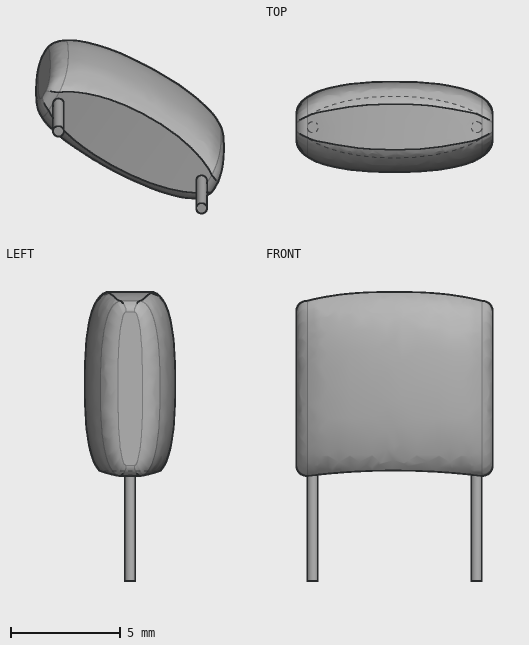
import cadquery as cq
import math

half_width = 4.5
body_height = 8.43
corner_radius = 0.5
shoulder_x = half_width - corner_radius
crown_rise = 0.41
crown_exponent = 2.5
crown_fractions = (0.6, 0, -0.6, -1)
arch_rise = 0.25

half_depth = 2.075
side_half_depth = 0.51
width_roundness = 2.35
height_roundness = 2.6
center_end_half_depth = 0.78
shoulder_end_half_depth = 0.26
side_end_half_depth = 0.08
rim_overlap = 0.02
end_extension = 0.5
section_steps = 12
main_fractions = (-1, -0.75, -0.5, -0.25, 0, 0.25, 0.5, 0.75, 1)
edge_fractions = (0, 0.4, 0.7, 0.9, 1)

lead_diameter = 0.5
lead_pitch = 7.5
lead_length = 4.8
lead_overlap = 0.5


def waist_half_depth(x):
    """Half thickness at mid height, a superellipse across the width."""
    bulge = (1 - abs(x / half_width) ** width_roundness) ** (1 / width_roundness)
    return side_half_depth + (half_depth - side_half_depth) * bulge


def end_half_depth(x):
    """Half thickness of the body at its top and bottom rims."""
    if abs(x) <= shoulder_x:
        drop = center_end_half_depth - shoulder_end_half_depth
        return center_end_half_depth - drop * (x / shoulder_x) ** 2
    fraction = (abs(x) - shoulder_x) / corner_radius
    return shoulder_end_half_depth + (side_end_half_depth - shoulder_end_half_depth) * fraction


def crown_height(x):
    """Top of the body, up to the shoulders."""
    return body_height - crown_rise * abs(x / shoulder_x) ** crown_exponent


def rim_heights(x):
    """Bottom and top of the bulged part of the section at x."""
    crown_z = crown_height(min(abs(x), shoulder_x))
    beyond_shoulder = max(abs(x) - shoulder_x, 0)
    corner_drop = corner_radius - math.sqrt(corner_radius**2 - beyond_shoulder**2)
    return corner_drop - rim_overlap, crown_z - corner_drop + rim_overlap


def section_wire(x):
    """Closed YZ section at x: a bulged curve front and back, with straight ends above and below."""
    bottom, top = rim_heights(x)
    middle = (bottom + top) / 2
    half_height = (top - bottom) / 2
    waist = waist_half_depth(x)
    rim = end_half_depth(x)
    curve = []
    for step in range(section_steps + 1):
        angle = math.pi * (step / section_steps - 0.5)
        height = math.copysign(abs(math.sin(angle)) ** (2 / height_roundness), math.sin(angle))
        depth = abs(math.cos(angle)) ** (2 / height_roundness)
        curve.append((rim + (waist - rim) * depth, middle + half_height * height))
    mirrored = [(-y, z) for y, z in reversed(curve)]
    low = -end_extension
    high = body_height + end_extension
    outline = (
        cq.Workplane("YZ", origin=(x, 0, 0))
        .moveTo(rim, low)
        .lineTo(rim, bottom)
        .spline(curve[1:], includeCurrent=True)
        .lineTo(rim, high)
        .lineTo(-rim, high)
        .lineTo(-rim, top)
        .spline(mirrored[1:], includeCurrent=True)
        .lineTo(-rim, low)
        .close()
    )
    return outline.val()


def pillow_part(stations):
    """Smooth loft through the sections at the given X stations."""
    return cq.Workplane(cq.Solid.makeLoft([section_wire(x) for x in stations]))


def outline_block():
    """Front outline with a crowned top, an arched underside and rounded corners."""
    block_half_depth = 2 * half_depth
    corner_mid_x = shoulder_x + corner_radius * math.sqrt(0.5)
    corner_mid_rise = corner_radius * (1 - math.sqrt(0.5))
    shoulder_z = crown_height(shoulder_x)
    side_top = shoulder_z - corner_radius
    crown_points = []
    for fraction in crown_fractions:
        x = fraction * shoulder_x
        crown_points.append((x, crown_height(x)))
    return (
        cq.Workplane("XZ", origin=(0, block_half_depth, 0))
        .moveTo(-shoulder_x, 0)
        .threePointArc((0, arch_rise), (shoulder_x, 0))
        .threePointArc((corner_mid_x, corner_mid_rise), (half_width, corner_radius))
        .lineTo(half_width, side_top)
        .threePointArc((corner_mid_x, shoulder_z - corner_mid_rise), (shoulder_x, shoulder_z))
        .spline(crown_points, includeCurrent=True)
        .threePointArc((-corner_mid_x, shoulder_z - corner_mid_rise), (-half_width, side_top))
        .lineTo(-half_width, corner_radius)
        .threePointArc((-corner_mid_x, corner_mid_rise), (-shoulder_x, 0))
        .close()
        .extrude(2 * block_half_depth)
    )


def make_body():
    """Main pillow and two rolled side edges, each trimmed to the outline and joined at the shoulders."""
    main_stations = [shoulder_x * fraction for fraction in main_fractions]
    edge_stations = [shoulder_x + corner_radius * fraction for fraction in edge_fractions]
    block = outline_block()
    main = pillow_part(main_stations).intersect(block)
    edge = pillow_part(edge_stations).intersect(block)
    return main.union(edge).union(edge.mirror("YZ")).solids()


def make_lead(x):
    """Round lead whose upper end follows the underside of the body."""
    lead = (
        cq.Workplane("XY", origin=(x, 0, -lead_length))
        .circle(lead_diameter / 2)
        .extrude(lead_length + lead_overlap)
    )
    return lead.cut(outline_block()).solids()


body = make_body()
leads = []
for side in (-1, 1):
    leads.append(make_lead(side * lead_pitch / 2))

result = cq.Compound.makeCompound([body.val(), *[lead.val() for lead in leads]])